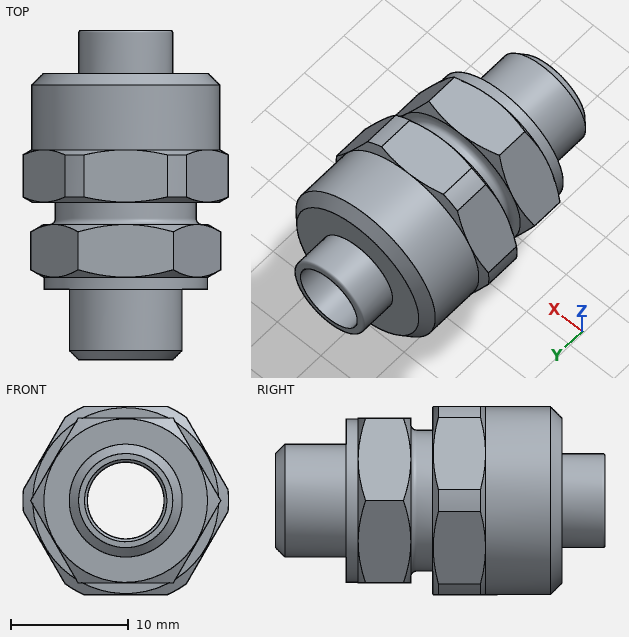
import cadquery as cq
import math


BORE_DIA = 6.5
BORE_CHAMFER = 0.25

STUB_DIA = 9.6
STUB_LENGTH = 6.0
STUB_CHAMFER = 0.8

BODY_HEX_FLATS = 14.0
BODY_HEX_ENVELOPE_DIA = 17.5
COLLAR_DIA = 13.9
COLLAR_LENGTH = 1.0
BODY_HEX_LENGTH = 4.5

NECK_DIA = 12.0
NECK_LENGTH = 1.85
NECK_FILLET = 0.5

NUT_HEX_FLATS = 16.0
NUT_HEX_CORNER_DIA = 17.5
NUT_HEX_LENGTH = 4.5
NUT_HEX_FACE_DIA = 15.8
NUT_LENGTH = 11.0
NUT_CHAMFER = 1.0
BARREL_DIA = NUT_HEX_FLATS

TUBE_DIA = 8.0
TUBE_EDGE_RADIUS = 0.2

TOTAL_LENGTH = 28.0
HEX_SIDES = 6
HEX_BEVEL_ANGLE = 30.0

COLLAR_START = STUB_LENGTH
BODY_HEX_START = COLLAR_START + COLLAR_LENGTH
NECK_START = BODY_HEX_START + BODY_HEX_LENGTH
NUT_START = NECK_START + NECK_LENGTH
BARREL_START = NUT_START + NUT_HEX_LENGTH
NUT_END = NUT_START + NUT_LENGTH


def plane_at(y):
    """Sketch plane at station y, facing +Y."""
    return cq.Plane(origin=(0, y, 0), xDir=(1, 0, 0), normal=(0, 1, 0))


def rod(start, end, diameter):
    return cq.Workplane(plane_at(start)).circle(diameter / 2).extrude(end - start)


def revolve_profile(points):
    """Turn a closed (radius, y) outline around the Y axis."""
    return cq.Workplane("XY").polyline(points).close().revolve(360, (0, 0), (0, 1))


def beveled_hexagon(start, length, flats, corner_dia, start_face_dia, end_face_dia):
    """Hexagonal prism with corners on X, turned to corner_dia and beveled at both ends."""
    bevel_slope = math.tan(math.radians(HEX_BEVEL_ANGLE))
    corner_radius = corner_dia / 2
    start_face_radius = start_face_dia / 2
    end_face_radius = end_face_dia / 2
    end = start + length
    prism_dia = flats / math.cos(math.pi / HEX_SIDES)
    prism = cq.Workplane(plane_at(start)).polygon(HEX_SIDES, prism_dia).extrude(length)
    envelope = revolve_profile([
        (0, start),
        (start_face_radius, start),
        (corner_radius, start + (corner_radius - start_face_radius) * bevel_slope),
        (corner_radius, end - (corner_radius - end_face_radius) * bevel_slope),
        (end_face_radius, end),
        (0, end),
    ])
    return prism.intersect(envelope)


def make_stub():
    return rod(0, COLLAR_START, STUB_DIA).faces("<Y").chamfer(STUB_CHAMFER)


def make_body_hexagon():
    return beveled_hexagon(
        BODY_HEX_START, BODY_HEX_LENGTH, BODY_HEX_FLATS, BODY_HEX_ENVELOPE_DIA, COLLAR_DIA, BODY_HEX_FLATS
    )


def make_neck():
    """Neck with a concave fillet at its foot on the body hexagon."""
    neck_radius = NECK_DIA / 2
    foot_radius = neck_radius + NECK_FILLET
    fillet_end = NECK_START + NECK_FILLET
    arc_offset = NECK_FILLET * (1 - math.sqrt(0.5))
    return (
        cq.Workplane("XY")
        .moveTo(0, NECK_START)
        .lineTo(foot_radius, NECK_START)
        .threePointArc((neck_radius + arc_offset, NECK_START + arc_offset), (neck_radius, fillet_end))
        .lineTo(neck_radius, NUT_START)
        .lineTo(0, NUT_START)
        .close()
        .revolve(360, (0, 0), (0, 1))
    )


def make_nut():
    hexagon = beveled_hexagon(
        NUT_START, NUT_HEX_LENGTH, NUT_HEX_FLATS, NUT_HEX_CORNER_DIA, NUT_HEX_FACE_DIA, BARREL_DIA
    )
    barrel = rod(BARREL_START, NUT_END, BARREL_DIA).faces(">Y").chamfer(NUT_CHAMFER)
    return hexagon.union(barrel)


def make_tube():
    return rod(NUT_END, TOTAL_LENGTH, TUBE_DIA).faces(">Y").edges().fillet(TUBE_EDGE_RADIUS)


def make_bore():
    """Through bore with a small countersink at the stub tip."""
    bore_radius = BORE_DIA / 2
    return revolve_profile([
        (0, 0),
        (bore_radius + BORE_CHAMFER, 0),
        (bore_radius, BORE_CHAMFER),
        (bore_radius, TOTAL_LENGTH),
        (0, TOTAL_LENGTH),
    ])


collar = rod(COLLAR_START, BODY_HEX_START, COLLAR_DIA)

result = (
    make_stub()
    .union(collar)
    .union(make_body_hexagon())
    .union(make_neck())
    .union(make_nut())
    .union(make_tube())
    .cut(make_bore())
)